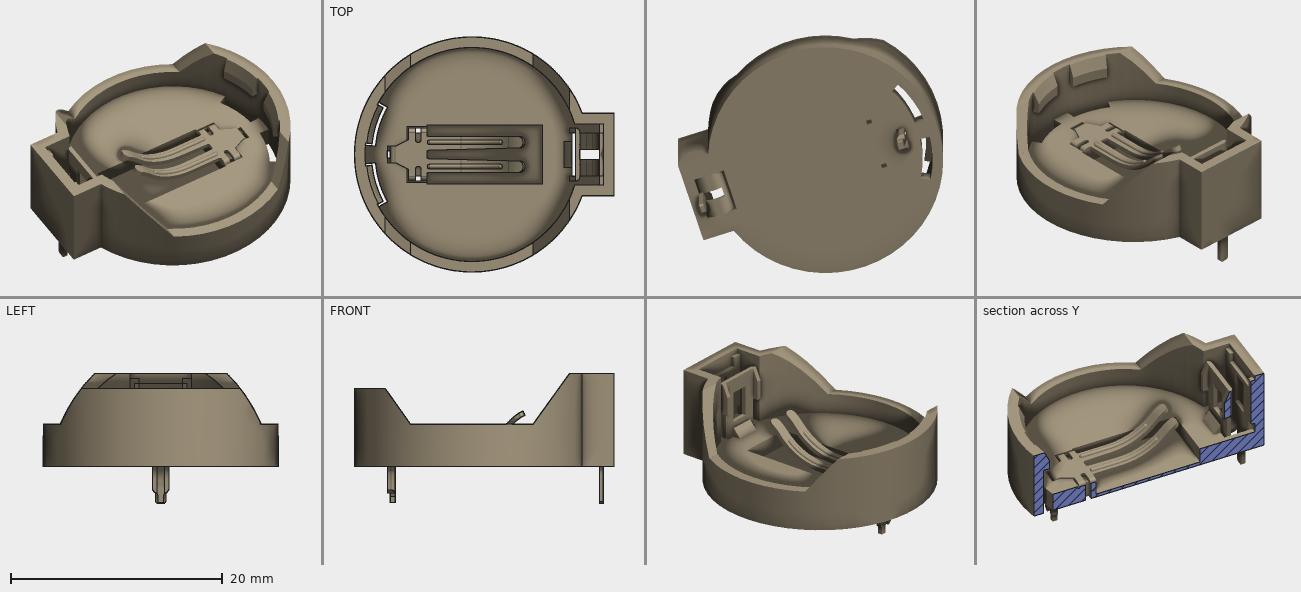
import cadquery as cq
import math

OUTER_RADIUS = 11.1
INNER_RADIUS = 10.1
FLOOR_Z = 2.0
TOP_Z = 8.8
LOW_RIM_Z = 4.0
LEFT_RIM_Z = 7.38
LEFT_RAMP_TOP_X = -8.2
LEFT_RAMP_FOOT_X = -5.8
RIGHT_RAMP_FOOT_X = 5.75
RIGHT_RAMP_TOP_X = 9.2

WALL = OUTER_RADIUS - INNER_RADIUS
BOX_END_X = 13.4
BOX_HALF_WIDTH = 3.9
BOX_INNER_X = BOX_END_X - WALL
BOX_INNER_HALF_WIDTH = BOX_HALF_WIDTH - WALL

SLOT_INNER_RADIUS = 9.15
SLOT_ANGLES = (5.0, 29.2)
LUG_TIP_RADIUS = 9.48
LUG_ANGLES = (6.1, 27.8)
LUG_UNDERSIDE_Z = 5.2
LUG_TIP_Z = 6.2
LUG_BEVEL_RADIUS = 9.99

SHEET = 0.45
ROUNDING_SHARE = 0.9
RECESS_START_X = -4.23
RECESS_END_X = 6.64
RECESS_HALF_WIDTH = 2.78
RECESS_FLOOR_Z = 0.4
PLATE_TOP_Z = 2.2
PLATE_UNDERSIDE_Z = PLATE_TOP_Z - SHEET
PLATE_START_X = -6.0
PLATE_HALF_WIDTH = 2.49
PLATE_GAP = 0.14
NECK_HALF_WIDTH = 0.785
NECK_WIDE_HALF_WIDTH = 1.4
NECK_START_X = -7.23
NOTCH_X = (-5.33, -4.82)
NOTCH_END_Y = 1.14

TAIL_OUTER_X = -7.72
TAIL_FLANGE_X = -8.0
TAIL_TROUGH_HALF_WIDTH = 0.35
TAIL_TIP_HALF_WIDTH = 0.25
TAIL_SHOULDER_Z = -2.2
TAIL_FLANGE_END_Z = -2.5
TAIL_TIP_START_Z = -2.8
TAIL_TIP_Z = -3.4

FINGER_Y = 1.14
FINGER_OUTER_Y = 1.68
FINGER_ROOT_INNER_Y = 0.4
FINGER_TIP_INNER_Y = 0.64
FINGER_BEND_X = -1.05
FINGER_CREASE_X = 3.45
FINGER_TIP_X = 4.8
CREASE_ANGLE = 48.5
TIP_ANGLE = 26.0
ROOT_ROUND = 0.2
BEAD_RADIUS = 0.22
BEAD_START_X = -4.0
BEAD_END_X = 2.68

CLIP_HALF_WIDTH = 2.03
CLIP_FRONT_X = 9.75
CLIP_BACK_X = 12.0
CLIP_FRONT_THICKNESS = 0.42
CLIP_FRONT_TOP_Z = 7.83
CLIP_BACK_TOP_Z = 7.3
CLIP_EAR_Z = (3.0, 8.3)
CLIP_BEND_RADIUS = 0.62
CLIP_SLIT_HALF_WIDTH = 0.46
CLIP_WINDOW_HALF_WIDTH = 0.93
CLIP_FRONT_WINDOW_Z = (3.35, 6.4)
CLIP_BACK_WINDOW_Z = (3.35, 6.8)
WING_OUTER_Y = 2.49
WING_FRONT_X = 9.2
WING_BOTTOM_Z = 4.7
WING_SHOULDER_Z = 6.6
CLIP_OPENING_X = 9.45
PIN_HALF_WIDTH = 0.5
PIN_TIP_Z = -3.5
PIN_CHAMFER = 0.2

RAMP_FOOT_X = 8.69
RAMP_HALF_WIDTH = 1.22
RAMP_TOP_Z = 2.9


def block(x_range, y_range, z_range):
    """Axis-aligned box between the given limits."""
    (x0, x1), (y0, y1), (z0, z1) = x_range, y_range, z_range
    return cq.Workplane("XY").box(x1 - x0, y1 - y0, z1 - z0, centered=False).translate((x0, y0, z0))


def centred_block(x_range, half_width, z_range):
    return block(x_range, (-half_width, half_width), z_range)


def both_sides(shape):
    """The shape together with its mirror image across y = 0."""
    return shape.union(shape.mirror("XZ"))


def side_prism(points, half_width):
    """Closed XZ outline extruded symmetrically along Y."""
    return cq.Workplane("XZ").polyline(points).close().extrude(half_width, both=True)


def along(angle, length):
    """Vector of the given length and direction in degrees, on two axes."""
    return (length * math.cos(math.radians(angle)), length * math.sin(math.radians(angle)))


def wedge(angles, height):
    """Triangular prism from the cup axis, between two angles measured from -X towards +Y."""
    corners = [along(180 - angle, 2 * OUTER_RADIUS) for angle in angles]
    return cq.Workplane("XY").polyline([(0, 0)] + corners).close().extrude(height)


def make_cup():
    outside = cq.Workplane("XY").circle(OUTER_RADIUS).extrude(TOP_Z)
    outside = outside.union(centred_block((0, BOX_END_X), BOX_HALF_WIDTH, (0, TOP_Z)))
    inside = cq.Workplane("XY", origin=(0, 0, FLOOR_Z)).circle(INNER_RADIUS).extrude(TOP_Z)
    inside = inside.union(centred_block((0, BOX_INNER_X), BOX_INNER_HALF_WIDTH, (FLOOR_Z, TOP_Z)))
    rim_profile = [
        (-OUTER_RADIUS, 0),
        (-OUTER_RADIUS, LEFT_RIM_Z),
        (LEFT_RAMP_TOP_X, LEFT_RIM_Z),
        (LEFT_RAMP_FOOT_X, LOW_RIM_Z),
        (RIGHT_RAMP_FOOT_X, LOW_RIM_Z),
        (RIGHT_RAMP_TOP_X, TOP_Z),
        (BOX_END_X, TOP_Z),
        (BOX_END_X, 0),
    ]
    return outside.cut(inside).intersect(side_prism(rim_profile, OUTER_RADIUS))


def make_lug():
    profile = [
        (INNER_RADIUS + WALL / 2, LUG_UNDERSIDE_Z),
        (LUG_TIP_RADIUS, LUG_UNDERSIDE_Z),
        (LUG_TIP_RADIUS, LUG_TIP_Z),
        (LUG_BEVEL_RADIUS, LEFT_RIM_Z),
        (INNER_RADIUS + WALL / 2, LEFT_RIM_Z),
    ]
    ring = cq.Workplane("XZ").polyline(profile).close().revolve(360, (0, 0), (0, 1))
    return ring.intersect(wedge(LUG_ANGLES, TOP_Z))


def make_lug_slot():
    ring = cq.Workplane("XY").circle(INNER_RADIUS).circle(SLOT_INNER_RADIUS).extrude(FLOOR_Z)
    return ring.intersect(wedge(SLOT_ANGLES, FLOOR_Z))


def plate_outline(gap):
    """Hub plate with its tapered neck; gap widens the wide part only."""
    start_x = PLATE_START_X - gap
    half_width = PLATE_HALF_WIDTH + gap
    slope = (NECK_WIDE_HALF_WIDTH - NECK_HALF_WIDTH) / (PLATE_START_X - NECK_START_X)
    shoulder_y = NECK_WIDE_HALF_WIDTH - slope * gap
    upper = [
        (NECK_START_X, NECK_HALF_WIDTH),
        (start_x, shoulder_y),
        (start_x, half_width),
        (RECESS_START_X, half_width),
    ]
    lower = [(x, -y) for x, y in reversed(upper)]
    return cq.Workplane("XY", origin=(0, 0, PLATE_UNDERSIDE_Z)).polyline(upper + lower).close()


def make_spring_recess():
    recess = centred_block((RECESS_START_X, RECESS_END_X), RECESS_HALF_WIDTH, (RECESS_FLOOR_Z, FLOOR_Z))
    recess = recess.union(plate_outline(PLATE_GAP).extrude(SHEET))
    recess = recess.union(centred_block((TAIL_FLANGE_X, NECK_START_X), NECK_HALF_WIDTH, (0, FLOOR_Z)))
    leg_opening = block(NOTCH_X, (PLATE_HALF_WIDTH - SHEET, PLATE_HALF_WIDTH), (0, FLOOR_Z))
    return recess.union(both_sides(leg_opening))


def make_tail():
    """Solder tail of the spring contact: a channel bent from the neck, with a narrow tip."""
    bend = centred_block((TAIL_OUTER_X, NECK_START_X), NECK_HALF_WIDTH, (FLOOR_Z - SHEET, PLATE_TOP_Z))
    bend = bend.edges("|Y and >Z and <X").fillet(SHEET)
    channel_outline = [
        (-NECK_HALF_WIDTH, FLOOR_Z - SHEET),
        (-NECK_HALF_WIDTH, TAIL_SHOULDER_Z),
        (-PIN_HALF_WIDTH, TAIL_FLANGE_END_Z),
        (PIN_HALF_WIDTH, TAIL_FLANGE_END_Z),
        (NECK_HALF_WIDTH, TAIL_SHOULDER_Z),
        (NECK_HALF_WIDTH, FLOOR_Z - SHEET),
    ]
    channel = (
        cq.Workplane("YZ", origin=(TAIL_FLANGE_X, 0, 0))
        .polyline(channel_outline)
        .close()
        .extrude(NECK_START_X - TAIL_FLANGE_X)
    )
    rounded = centred_block(
        (TAIL_FLANGE_X, NECK_START_X), NECK_HALF_WIDTH, (TAIL_TIP_Z, FLOOR_Z - SHEET)
    )
    rounded = rounded.edges("|Z and >X").fillet(NECK_HALF_WIDTH - TAIL_TROUGH_HALF_WIDTH)
    trough = centred_block(
        (TAIL_FLANGE_X, TAIL_OUTER_X), TAIL_TROUGH_HALF_WIDTH, (TAIL_TIP_Z, PLATE_TOP_Z)
    )
    tip_outline = [
        (-TAIL_TROUGH_HALF_WIDTH, TAIL_FLANGE_END_Z),
        (-TAIL_TIP_HALF_WIDTH, TAIL_TIP_START_Z),
        (-TAIL_TIP_HALF_WIDTH, TAIL_TIP_Z),
        (TAIL_TIP_HALF_WIDTH, TAIL_TIP_Z),
        (TAIL_TIP_HALF_WIDTH, TAIL_TIP_START_Z),
        (TAIL_TROUGH_HALF_WIDTH, TAIL_FLANGE_END_Z),
    ]
    tip = (
        cq.Workplane("YZ", origin=(TAIL_OUTER_X, 0, 0))
        .polyline(tip_outline)
        .close()
        .extrude(NECK_START_X - TAIL_OUTER_X)
    )
    return bend.union(channel.intersect(rounded).cut(trough)).union(tip)


def make_plate():
    plate = plate_outline(0).extrude(SHEET)
    leg = block(
        (PLATE_START_X, RECESS_START_X),
        (PLATE_HALF_WIDTH - SHEET, PLATE_HALF_WIDTH),
        (RECESS_FLOOR_Z, PLATE_UNDERSIDE_Z),
    )
    plate = plate.union(both_sides(leg))
    plate = plate.edges("|X and >Z").edges(">Y or <Y").fillet(SHEET * ROUNDING_SHARE)
    notch_width = NOTCH_X[1] - NOTCH_X[0]
    notch = block(NOTCH_X, (NOTCH_END_Y, PLATE_HALF_WIDTH), (RECESS_FLOOR_Z, PLATE_TOP_Z))
    notch = notch.edges("|Z and <Y").fillet(notch_width / 2 * ROUNDING_SHARE)
    return plate.cut(both_sides(notch))


def sine(angle):
    return math.sin(math.radians(angle))


LIFT_RADIUS = (FINGER_CREASE_X - FINGER_BEND_X) / sine(CREASE_ANGLE)
NOSE_RADIUS = (FINGER_TIP_X - FINGER_CREASE_X) / (sine(CREASE_ANGLE) - sine(TIP_ANGLE))


def lift_point(angle, drop):
    """Point on the rising arc where its slope is angle, at depth drop below the upper surface."""
    dx, dz = along(angle - 90, LIFT_RADIUS + drop)
    return (FINGER_BEND_X + dx, PLATE_TOP_Z + LIFT_RADIUS + dz)


def nose_point(angle, drop):
    """Point on the flattening arc that continues the rising arc."""
    crease_x, crease_z = lift_point(CREASE_ANGLE, drop)
    centre_dx, centre_dz = along(CREASE_ANGLE - 90, NOSE_RADIUS - drop)
    dx, dz = along(angle + 90, NOSE_RADIUS - drop)
    return (crease_x + centre_dx + dx, crease_z + centre_dz + dz)


def make_finger():
    middle_lift = CREASE_ANGLE / 2
    middle_nose = (CREASE_ANGLE + TIP_ANGLE) / 2
    side = (
        cq.Workplane("XZ")
        .moveTo(RECESS_START_X, PLATE_TOP_Z)
        .lineTo(*lift_point(0, 0))
        .threePointArc(lift_point(middle_lift, 0), lift_point(CREASE_ANGLE, 0))
        .threePointArc(nose_point(middle_nose, 0), nose_point(TIP_ANGLE, 0))
        .lineTo(*nose_point(TIP_ANGLE, SHEET))
        .threePointArc(nose_point(middle_nose, SHEET), lift_point(CREASE_ANGLE, SHEET))
        .threePointArc(lift_point(middle_lift, SHEET), lift_point(0, SHEET))
        .lineTo(RECESS_START_X, PLATE_UNDERSIDE_Z)
        .close()
        .extrude(-RECESS_HALF_WIDTH)
    )
    plan_end_x = FINGER_TIP_X + SHEET
    plan_outline = [
        (RECESS_START_X, FINGER_ROOT_INNER_Y),
        (plan_end_x, FINGER_TIP_INNER_Y),
        (plan_end_x, FINGER_OUTER_Y),
        (RECESS_START_X, FINGER_OUTER_Y),
    ]
    plan = cq.Workplane("XY").polyline(plan_outline).close().extrude(TOP_Z)
    tip_width = FINGER_OUTER_Y - FINGER_TIP_INNER_Y
    finger = side.intersect(plan)
    return finger.faces(">X").edges("not |Y").fillet(tip_width / 2 * ROUNDING_SHARE)


def make_bead():
    """Round stiffening bead along the upper surface of a finger, with domed ends."""
    end_angle = math.degrees(math.asin((BEAD_END_X - FINGER_BEND_X) / LIFT_RADIUS))
    path = (
        cq.Workplane("XZ", origin=(0, FINGER_Y, 0))
        .moveTo(BEAD_START_X, PLATE_TOP_Z)
        .lineTo(*lift_point(0, 0))
        .threePointArc(lift_point(end_angle / 2, 0), lift_point(end_angle, 0))
    )
    bead = (
        cq.Workplane("YZ", origin=(BEAD_START_X, FINGER_Y, PLATE_TOP_Z))
        .circle(BEAD_RADIUS)
        .sweep(path)
    )
    for x, z in ((BEAD_START_X, PLATE_TOP_Z), lift_point(end_angle, 0)):
        bead = bead.union(cq.Workplane("XY", origin=(x, FINGER_Y, z)).sphere(BEAD_RADIUS))
    return bead


def make_spring():
    spring = make_plate().union(both_sides(make_finger()))
    margin = ROOT_ROUND / 2
    root_region = cq.selectors.BoxSelector(
        (RECESS_START_X - margin, -FINGER_OUTER_Y - margin, RECESS_FLOOR_Z),
        (RECESS_START_X + margin, FINGER_OUTER_Y + margin, PLATE_TOP_Z),
    )
    spring = spring.edges("|Z").edges(root_region).fillet(ROOT_ROUND)
    return spring.union(make_tail()).union(both_sides(make_bead()))


def make_clip_opening():
    return centred_block((CLIP_OPENING_X, BOX_INNER_X), CLIP_HALF_WIDTH, (0, FLOOR_Z))


def make_clip():
    """U-shaped terminal with two wings, two ears, windows and a solder pin."""
    front_back_x = CLIP_FRONT_X + CLIP_FRONT_THICKNESS
    sheet = centred_block((CLIP_FRONT_X, BOX_INNER_X), CLIP_HALF_WIDTH, (0, CLIP_FRONT_TOP_Z))
    sheet = sheet.edges("|Y and <Z").fillet(CLIP_BEND_RADIUS + SHEET)
    hollow = centred_block((front_back_x, CLIP_BACK_X), CLIP_HALF_WIDTH, (SHEET, TOP_Z))
    hollow = hollow.edges("|Y and <Z").fillet(CLIP_BEND_RADIUS)
    sheet = sheet.cut(hollow)
    sheet = sheet.cut(centred_block((front_back_x, BOX_INNER_X), CLIP_HALF_WIDTH, (CLIP_BACK_TOP_Z, TOP_Z)))
    sheet = sheet.cut(centred_block((front_back_x, CLIP_BACK_X), CLIP_SLIT_HALF_WIDTH, (0, FLOOR_Z)))
    for x_range, z_range in (
        ((CLIP_FRONT_X, front_back_x), CLIP_FRONT_WINDOW_Z),
        ((CLIP_BACK_X, BOX_INNER_X), CLIP_BACK_WINDOW_Z),
    ):
        sheet = sheet.cut(centred_block(x_range, CLIP_WINDOW_HALF_WIDTH, z_range))

    ear = block(
        (CLIP_BACK_X, BOX_INNER_X), (CLIP_HALF_WIDTH, BOX_INNER_HALF_WIDTH), CLIP_EAR_Z
    )
    pin = centred_block((CLIP_BACK_X, BOX_INNER_X), PIN_HALF_WIDTH, (PIN_TIP_Z, FLOOR_Z))
    pin = pin.edges("|X and <Z").chamfer(PIN_CHAMFER)
    return sheet.union(both_sides(ear.union(make_wing()))).union(pin)


def make_wing():
    back_x = CLIP_FRONT_X + CLIP_FRONT_THICKNESS
    outline = [
        (back_x, WING_BOTTOM_Z),
        (WING_FRONT_X, WING_BOTTOM_Z),
        (WING_FRONT_X, WING_SHOULDER_Z),
        (CLIP_FRONT_X, CLIP_FRONT_TOP_Z),
        (back_x, CLIP_FRONT_TOP_Z),
    ]
    thickness = WING_OUTER_Y - CLIP_HALF_WIDTH
    wing = cq.Workplane("XZ", origin=(0, CLIP_HALF_WIDTH, 0)).polyline(outline).close().extrude(-thickness)
    bend_radius = min(thickness, CLIP_FRONT_THICKNESS) * ROUNDING_SHARE
    return wing.edges("|Z and >X and >Y").fillet(bend_radius)


def make_ramp():
    outline = [(RAMP_FOOT_X, FLOOR_Z), (CLIP_OPENING_X, FLOOR_Z), (CLIP_OPENING_X, RAMP_TOP_Z)]
    return side_prism(outline, RAMP_HALF_WIDTH)


cup = make_cup().cut(both_sides(make_lug_slot())).union(both_sides(make_lug()))
cup = cup.cut(make_spring_recess()).cut(make_clip_opening()).union(make_ramp())
result = cup.union(make_spring()).union(make_clip())